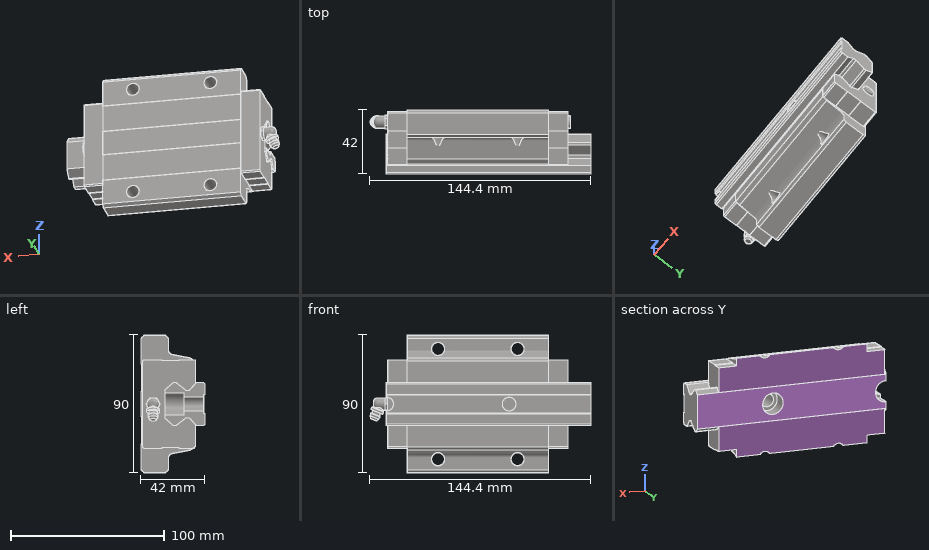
import cadquery as cq
import math


overall_length = 144.4

rail_length = 133.8
rail_height = 26.1
rail_half_width = 14.1
rail_top_half_width = 9.4
rail_waist_half_width = 9.0
rail_head_low = 19.2
rail_head_high = 20.8
rail_waist_low = 10.4
rail_waist_high = 12.5
rail_foot_top = 5.8
rail_base_chamfer = 1.2
base_relief_depth = 0.9
base_relief_half_width = 6.4
base_relief_slope = 0.5
rail_hole_first = 0.3
rail_hole_pitch = 80.0
rail_hole_count = 2
rail_hole_diameter = 9.0
rail_bore_diameter = 14.1
rail_bore_depth = 12.3

carriage_top = 42.0
block_bottom = 6.6
cap_length = 12.7
cap_start = 0.9
block_start = cap_start + cap_length
block_length = 92.5
block_end = block_start + block_length
cap_end = block_end + cap_length
flange_width = 90.0
flange_half_width = flange_width / 2
flange_bottom = 24.0
flange_chamfer = 2.0
flank_root_z = 32.9
flank_end_y = 9.8
flank_end_z = 30.2
skirt_half_width = 28.0
flank_root_fillet = 2.7
top_relief_depth = 0.5
top_relief_inner_z = 8.2
top_relief_outer_z = 26.1
mount_hole_diameter = 8.4
mount_hole_pitch_x = 52.0
mount_hole_pitch_z = 72.0

cap_top_setback = 1.0
cap_bottom_overhang = 0.3
cap_top = carriage_top - cap_top_setback
cap_bottom = block_bottom - cap_bottom_overhang
cap_half_width = 28.9
cap_top_chamfer = 0.9
cap_lower_chamfer = 1.0
cap_groove_depth = 0.5
cap_groove_low = 17.2
cap_groove_high = 28.2

fitting_y = 34.0
nipple_hex_flats = 8.0
nipple_hex_length = 1.7
elbow_diameter = 8.2
elbow_length = 7.5
elbow_fillet = 2.7
spout_tilt = math.radians(22.5)
spout_diameter = 7.0
collar_diameter = 8.4
collar_start = 3.5
collar_bevel = 0.5
collar_end = 5.5
neck_diameter = 5.5
neck_end = 7.5
head_diameter = 6.6
head_start = 7.8
head_band_diameter = 6.0
head_band_end = 9.5
tip_diameter = 4.3
tip_end = 11.1
head_reach = (
    head_band_end * math.sin(spout_tilt) + head_band_diameter / 2 * math.cos(spout_tilt)
)
spout_origin_x = rail_length - overall_length + head_reach
plug_diameter = 8.4
plug_length = 1.6
plug_fillet = 0.5


def mirrored_profile(half_points):
    """Closed YZ outline from the points of its +Z half, listed from top to bottom."""
    other_half = [(y, -z) for y, z in reversed(half_points)]
    return cq.Workplane("YZ").polyline(half_points + other_half).close()


def box_between(x_range, y_range, z_range):
    """Box filling the given low-to-high ranges."""
    sizes = [high - low for low, high in (x_range, y_range, z_range)]
    corner = (x_range[0], y_range[0], z_range[0])
    return cq.Workplane("XY").box(*sizes, centered=False).translate(corner)


def rail_bar(base_points):
    """Full-length bar with the rail's sides and top, and the given half outline of its base."""
    side_points = [
        (rail_height, rail_top_half_width),
        (rail_head_high, rail_half_width),
        (rail_head_low, rail_half_width),
        (rail_waist_high, rail_waist_half_width),
        (rail_waist_low, rail_waist_half_width),
        (rail_foot_top, rail_half_width),
    ]
    return mirrored_profile(side_points + base_points).extrude(rail_length)


def rail_envelope():
    """Rail shape without its base details, used to cut the running channel."""
    return rail_bar([(0, rail_half_width)])


def make_rail():
    rail = rail_bar([
        (rail_base_chamfer, rail_half_width),
        (0, rail_half_width - rail_base_chamfer),
        (0, base_relief_half_width),
        (base_relief_depth, base_relief_half_width - base_relief_slope),
    ])
    hole_points = [
        (rail_hole_first + i * rail_hole_pitch, 0) for i in range(rail_hole_count)
    ]
    hole_plane = cq.Workplane("XZ").pushPoints(hole_points)
    holes = hole_plane.circle(rail_hole_diameter / 2).extrude(-rail_height)
    bore_plane = cq.Workplane("XZ", origin=(0, rail_height, 0)).pushPoints(hole_points)
    bores = bore_plane.circle(rail_bore_diameter / 2).extrude(rail_bore_depth)
    return rail.cut(holes).cut(bores)


def make_block():
    block = mirrored_profile([
        (carriage_top, flange_half_width - flange_chamfer),
        (carriage_top - flange_chamfer, flange_half_width),
        (flange_bottom + flange_chamfer, flange_half_width),
        (flange_bottom, flange_half_width - flange_chamfer),
        (flange_bottom, flank_root_z),
        (flank_end_y, flank_end_z),
        (block_bottom, skirt_half_width),
    ]).extrude(block_length).translate((block_start, 0, 0))

    for side in (-1, 1):
        root = (block_start + block_length / 2, flange_bottom, side * flank_root_z)
        block = block.edges(cq.selectors.NearestToPointSelector(root)).fillet(flank_root_fillet)

    x_range = (block_start, block_end)
    y_range = (carriage_top - top_relief_depth, carriage_top)
    relief = box_between(x_range, y_range, (top_relief_inner_z, top_relief_outer_z))
    block = block.cut(relief).cut(relief.mirror("XY"))

    block_middle = (block_start + block_end) / 2
    mount_holes = (
        cq.Workplane("XZ", origin=(block_middle, 0, 0))
        .rarray(mount_hole_pitch_x, mount_hole_pitch_z, 2, 2)
        .circle(mount_hole_diameter / 2)
        .extrude(-carriage_top)
    )
    return block.cut(mount_holes)


def make_cap(start_x):
    end_x = start_x + cap_length
    cap = box_between(
        (start_x, end_x), (cap_bottom, cap_top), (-cap_half_width, cap_half_width)
    )
    cap = cap.edges("|X and >Y").chamfer(cap_top_chamfer)
    cap = cap.edges("|X and <Y and <Z").chamfer(cap_lower_chamfer)
    groove = box_between(
        (start_x, end_x),
        (cap_groove_low, cap_groove_high),
        (cap_half_width - cap_groove_depth, cap_half_width),
    )
    return cap.cut(groove).cut(groove.mirror("XY"))


def make_spout():
    """Turned, tilted end of the nipple; its outline is (radius, distance along its axis)."""
    outline = [
        (0, 0),
        (spout_diameter / 2, 0),
        (spout_diameter / 2, collar_start),
        (collar_diameter / 2, collar_start + collar_bevel),
        (collar_diameter / 2, collar_end),
        (neck_diameter / 2, collar_end),
        (neck_diameter / 2, neck_end),
        (head_diameter / 2, head_start),
        (head_band_diameter / 2, head_band_end),
        (tip_diameter / 2, tip_end),
        (0, tip_end),
    ]
    plane = cq.Plane(
        origin=(spout_origin_x, fitting_y, 0),
        xDir=(0, 1, 0),
        normal=(-math.cos(spout_tilt), 0, math.sin(spout_tilt)),
    )
    return cq.Workplane(plane).polyline(outline).close().revolve(360, (0, 0), (0, 1))


def make_nipple():
    face = cq.Workplane("YZ", origin=(cap_start, fitting_y, 0))
    hex_corners = nipple_hex_flats / math.cos(math.pi / 6)
    hexagon = face.polygon(6, hex_corners).extrude(-nipple_hex_length)
    elbow = (
        face.workplane(offset=-nipple_hex_length)
        .circle(elbow_diameter / 2)
        .extrude(-elbow_length)
        .faces("<X")
        .edges()
        .fillet(elbow_fillet)
    )
    return hexagon.union(elbow).union(make_spout())


def make_plug():
    face = cq.Workplane("YZ", origin=(cap_end, fitting_y, 0))
    plug = face.circle(plug_diameter / 2).extrude(plug_length)
    return plug.faces(">X").edges().fillet(plug_fillet)


def make_carriage():
    carriage = make_block()
    for start_x in (cap_start, block_end):
        carriage = carriage.union(make_cap(start_x))
    carriage = carriage.cut(rail_envelope())
    return carriage.union(make_nipple()).union(make_plug())


rail = make_rail()
carriage = make_carriage()
result = cq.Compound.makeCompound([*rail.solids().vals(), *carriage.solids().vals()])